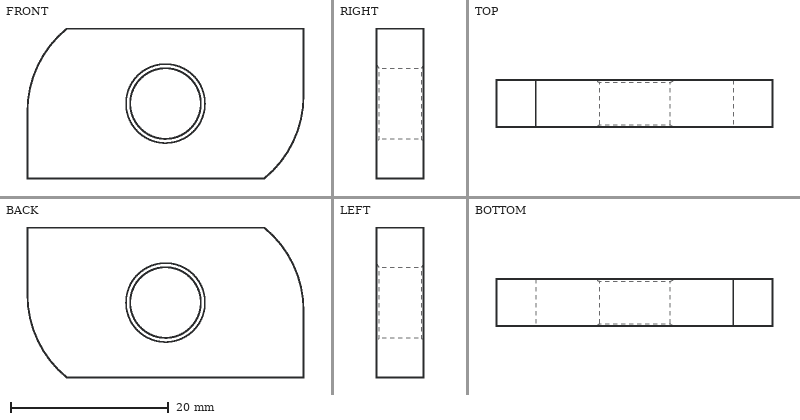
import cadquery as cq
import math

length = 35.0
thickness = 6.0
height = 19.0

corner_radius = 13.5
corner_setback = 5.0

hole_diameter = 8.92
mouth_diameter = 10.0
chamfer_angle = 30.0
chamfer_width = (mouth_diameter - hole_diameter) / 2
chamfer_depth = chamfer_width * math.tan(math.radians(chamfer_angle))

half_length = length / 2
half_height = height / 2

arc_reach = corner_radius - corner_setback
arc_drop = math.sqrt(corner_radius**2 - arc_reach**2)
center_x = -half_length + corner_radius
center_z = half_height - arc_drop
half_sweep = math.acos(arc_reach / corner_radius) / 2
mid_x = center_x - corner_radius * math.cos(half_sweep)
mid_z = center_z + corner_radius * math.sin(half_sweep)
long_edge_x = half_length - corner_setback

plate = (
    cq.Workplane("XZ")
    .moveTo(-half_length, -half_height)
    .lineTo(-half_length, center_z)
    .threePointArc((mid_x, mid_z), (-long_edge_x, half_height))
    .lineTo(half_length, half_height)
    .lineTo(half_length, -center_z)
    .threePointArc((-mid_x, -mid_z), (long_edge_x, -half_height))
    .close()
    .extrude(thickness / 2, both=True)
)

hole_radius = hole_diameter / 2
mouth_radius = mouth_diameter / 2
face_y = thickness / 2
throat_y = face_y - chamfer_depth
hole = (
    cq.Workplane("XY")
    .moveTo(0, -face_y)
    .lineTo(mouth_radius, -face_y)
    .lineTo(hole_radius, -throat_y)
    .lineTo(hole_radius, throat_y)
    .lineTo(mouth_radius, face_y)
    .lineTo(0, face_y)
    .close()
    .revolve(360, (0, 0, 0), (0, 1, 0))
)

result = plate.cut(hole)